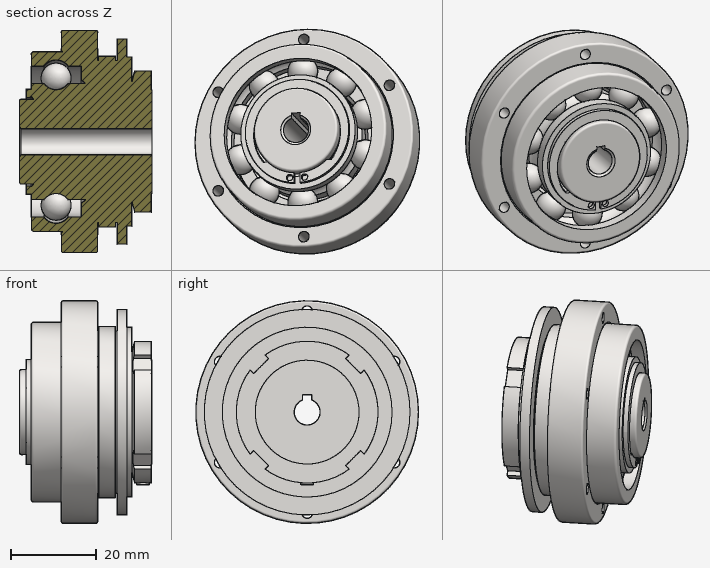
import cadquery as cq
import math

RING_START = 1.6
BEARING_FACE = 2.75
BALL_CENTER = 8.6
FLANGE_START = 9.8
FLANGE_END = 18.3
COLLAR_START = 18.45
COLLAR_END = 22.45
DISC_START = 22.85
DISC_END = 25.1
NUT_START = 26.25
NUT_RIM_START = 26.9
NUT_END = 30.8
TOTAL_LENGTH = 31.0

HUB_DIA = 19.9
HOUSING_DIA = 42.0
FLANGE_DIA = 52.0
NECK_DIA = 37.9
COLLAR_DIA = 40.0
DISC_DIA = 48.0
DISC_STEP_DIA = 39.6
NUT_FACE_DIA = 28.1
NUT_DIA = 33.05
END_BOSS_DIA = 24.25
EDGE_FILLET = 0.5
HOUSING_FILLET = 0.6
FLANGE_RELIEF = 0.3
COLLAR_CHAMFER = 0.1

OUTER_RING_BORE = 35.1
INNER_RING_DIA = 27.2
SEAT_DIA = 28.8
SEAT_DEPTH = 1.05
INNER_RING_CHAMFER_DIA = 21.1
INNER_RING_CHAMFER_DEPTH = 0.5
BALL_COUNT = 10
BALL_DIA = 7.0
BALL_CIRCLE_DIA = 31.2
RACE_RADIUS = 3.45

RETAINER_DIA = 24.6
RETAINER_RELIEF_DIA = 20.65
RETAINER_RELIEF_DROP = 0.6
RETAINER_LUG_TOP = -7.05
RETAINER_GAP = 1.4
PLIER_HOLE_DIA = 1.5
PLIER_HOLE_Y = 1.75
PLIER_HOLE_Z = -11.0

BORE_DIA = 6.0
BORE_MOUTH_DIA = 7.1
BORE_MOUTH_DEPTH = 0.4
KEYWAY_WIDTH = 2.1
KEYWAY_TOP = 4.0
FLANGE_HOLE_COUNT = 6
FLANGE_HOLE_DIA = 2.5
FLANGE_HOLE_CIRCLE_DIA = 47.0
SLOT_COUNT = 4
SLOT_START_ANGLE = 45
SLOT_WIDTH = 4.95
SLOT_FLOOR_RADIUS = 15.2
SCREW_DIA = 3.0
SCREW_TIP_RADIUS = 17.05
SCREW_CHAMFER = 0.2


def cylinder(start, end, dia, y=0, z=0):
    """Round bar along X between two stations."""
    return cq.Workplane("YZ", origin=(start, y, z)).circle(dia / 2).extrude(end - start)


def cone(start, end, start_dia, end_dia):
    """Conical bar on the X axis between two stations."""
    outline = [(start, 0), (start, start_dia / 2), (end, end_dia / 2), (end, 0)]
    return cq.Workplane("XY").polyline(outline).close().revolve(360, (0, 0, 0), (1, 0, 0))


def polar_yz(count, circle_dia):
    """Evenly spaced (y, z) places on a circle, the first one at the top."""
    angles = [math.pi / 2 + 2 * math.pi * i / count for i in range(count)]
    return [(circle_dia / 2 * math.cos(a), circle_dia / 2 * math.sin(a)) for a in angles]


def make_bearing_recess():
    """Space between the bearing rings, with a rounded ball race in each ring."""
    floor = 2 * BALL_CENTER - BEARING_FACE
    seat_end = floor + SEAT_DEPTH
    recess = cylinder(BEARING_FACE, floor, OUTER_RING_BORE)
    recess = recess.union(cone(floor, seat_end, SEAT_DIA, INNER_RING_DIA))
    recess = recess.cut(cylinder(BEARING_FACE, seat_end, INNER_RING_DIA))
    race = cq.Workplane("XY").center(BALL_CENTER, BALL_CIRCLE_DIA / 2).circle(RACE_RADIUS)
    race = race.revolve(360, (-BALL_CENTER, -BALL_CIRCLE_DIA / 2, 0), (0, -BALL_CIRCLE_DIA / 2, 0))
    return recess.union(race)


def make_housing():
    """Bearing housing with its bolt flange, hollowed out around the bearing."""
    housing = cylinder(BEARING_FACE, FLANGE_START, HOUSING_DIA).faces("<X").edges().fillet(HOUSING_FILLET)
    flange = cylinder(FLANGE_START, FLANGE_END, FLANGE_DIA).edges().fillet(EDGE_FILLET)
    for y, z in polar_yz(FLANGE_HOLE_COUNT, FLANGE_HOLE_CIRCLE_DIA):
        flange = flange.cut(cylinder(FLANGE_START, FLANGE_END, FLANGE_HOLE_DIA, y, z))

    relief_end = FLANGE_START + FLANGE_RELIEF
    relief = cone(FLANGE_START, relief_end, HOUSING_DIA + 2 * FLANGE_RELIEF, HOUSING_DIA)
    relief = relief.cut(cylinder(FLANGE_START, relief_end, HOUSING_DIA))
    flange = flange.cut(relief)

    housing = housing.union(flange).cut(make_bearing_recess())
    chamfer_end = BEARING_FACE + INNER_RING_CHAMFER_DEPTH
    inner_chamfer = cone(BEARING_FACE, chamfer_end, INNER_RING_CHAMFER_DIA, HUB_DIA)
    return housing.cut(inner_chamfer)


def make_balls():
    """Ring of bearing balls, partly sunk in the bearing rings."""
    balls = cq.Workplane("XY")
    for y, z in polar_yz(BALL_COUNT, BALL_CIRCLE_DIA):
        ball = cq.Workplane("XY").sphere(BALL_DIA / 2, direct=(1, 0, 0))
        balls = balls.union(ball.translate((BALL_CENTER, y, z)))
    return balls


def make_retainer():
    """Open retaining ring with two plier holes beside its gap."""
    ring = cylinder(RING_START, BEARING_FACE, RETAINER_DIA)
    thickness = BEARING_FACE - RING_START
    middle = (RING_START + BEARING_FACE) / 2
    relief = cylinder(RING_START, BEARING_FACE, RETAINER_RELIEF_DIA, z=-RETAINER_RELIEF_DROP)
    lugs = cq.Workplane("XY").box(thickness, RETAINER_DIA, RETAINER_DIA)
    relief = relief.cut(lugs.translate((middle, 0, RETAINER_LUG_TOP - RETAINER_DIA / 2)))
    gap = cq.Workplane("XY").box(thickness, RETAINER_GAP, RETAINER_DIA / 2)
    gap = gap.translate((middle, 0, -RETAINER_DIA / 4))
    ring = ring.cut(relief).cut(gap)
    for side in (-1, 1):
        hole = cylinder(RING_START, BEARING_FACE, PLIER_HOLE_DIA, side * PLIER_HOLE_Y, PLIER_HOLE_Z)
        ring = ring.cut(hole)
    return ring


def make_discs():
    """Grooved collar and stepped disc behind the flange."""
    collar = cylinder(COLLAR_START, COLLAR_END, COLLAR_DIA).edges().chamfer(COLLAR_CHAMFER)
    neck = cylinder(FLANGE_END, DISC_START, NECK_DIA)
    disc = cylinder(DISC_START, DISC_END, DISC_DIA)
    step = cylinder(DISC_END, NUT_START, DISC_STEP_DIA)
    return neck.union(collar).union(disc).union(step)


def make_nut():
    """Slotted round nut with a conical inner face and a radial set screw."""
    nut = cone(NUT_START, NUT_RIM_START, NUT_FACE_DIA, NUT_DIA)
    nut = nut.union(cylinder(NUT_RIM_START, NUT_END, NUT_DIA))
    slot = cq.Workplane("XY").box(
        NUT_END - NUT_START, SLOT_WIDTH, NUT_DIA / 2, centered=(False, True, False)
    )
    slot = slot.translate((NUT_START, 0, SLOT_FLOOR_RADIUS))
    for i in range(SLOT_COUNT):
        nut = nut.cut(slot.rotate((0, 0, 0), (1, 0, 0), SLOT_START_ANGLE + 360 / SLOT_COUNT * i))

    screw_x = (NUT_RIM_START + NUT_END) / 2
    screw = cq.Workplane("XY", origin=(screw_x, 0, -SCREW_TIP_RADIUS)).circle(SCREW_DIA / 2)
    screw = screw.extrude(SCREW_TIP_RADIUS - SLOT_FLOOR_RADIUS).faces("<Z").edges().chamfer(SCREW_CHAMFER)
    return nut.union(screw)


def make_bore():
    """Keyed through bore with a chamfered mouth."""
    bore = cylinder(0, TOTAL_LENGTH, BORE_DIA)
    mouth = cone(0, BORE_MOUTH_DEPTH, BORE_MOUTH_DIA, BORE_DIA)
    keyway = cq.Workplane("XY").box(
        TOTAL_LENGTH, KEYWAY_WIDTH, KEYWAY_TOP, centered=(False, True, False)
    )
    return bore.union(mouth).union(keyway)


hub = cylinder(0, BEARING_FACE + INNER_RING_CHAMFER_DEPTH, HUB_DIA).faces("<X").edges().fillet(EDGE_FILLET)
end_boss = cylinder(NUT_END, TOTAL_LENGTH, END_BOSS_DIA)

result = make_housing().union(hub).union(make_balls()).union(make_retainer())
result = result.union(make_discs()).union(make_nut()).union(end_boss)
result = result.cut(make_bore())